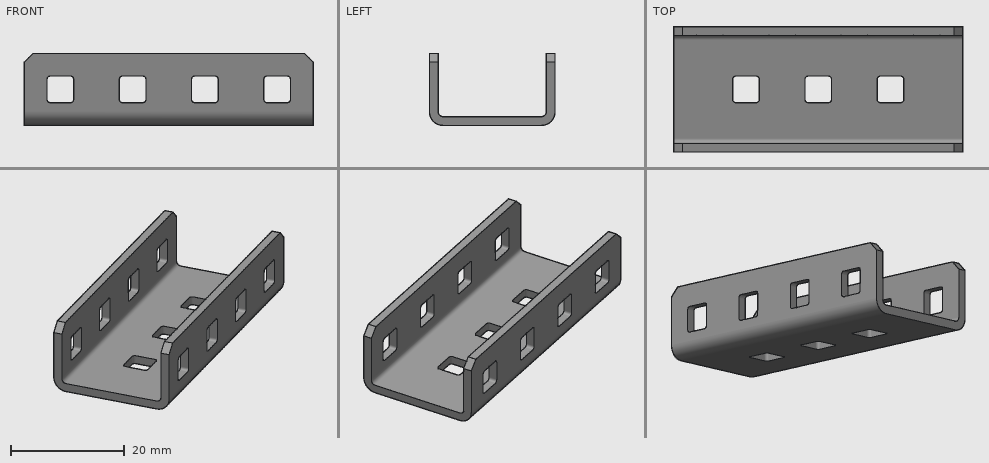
import cadquery as cq

length = 50.8
width = 22.1
height = 12.7

sheet = 1.6
inner_bend = 0.8
outer_bend = inner_bend + sheet

corner_bevel = 1.6

hole_side = 4.6
hole_corner_radius = 0.5
hole_pitch = 12.7
flange_hole_count = 4
web_hole_count = 3
flange_hole_height = hole_pitch / 2


def make_channel():
    """U-shaped sheet, open upwards, resting on Z = 0."""
    outer = (
        cq.Workplane("XY")
        .box(length, width, height, centered=(True, True, False))
        .edges("|X and <Z")
        .fillet(outer_bend)
    )
    inner = (
        cq.Workplane("XY", origin=(0, 0, sheet))
        .box(length, width - 2 * sheet, height, centered=(True, True, False))
        .edges("|X and <Z")
        .fillet(inner_bend)
    )
    return outer.cut(inner)


def bevel_flange_corners(channel):
    """Cut the top corners of the flanges at both ends of the channel."""
    return channel.faces(">Z").edges("|Y").chamfer(corner_bevel)


def punch_hole_row(plane, count, reach):
    """Row of square punches along X, reaching equally far to both sides of the plane."""
    return (
        plane.rarray(hole_pitch, 0.5, count, 1)
        .rect(hole_side, hole_side)
        .extrude(reach, both=True)
        .edges(cq.selectors.ParallelDirSelector(plane.plane.zDir))
        .fillet(hole_corner_radius)
    )


flange_plane = cq.Workplane("XZ", origin=(0, 0, flange_hole_height))
flange_punches = punch_hole_row(flange_plane, flange_hole_count, width)
web_punches = punch_hole_row(cq.Workplane("XY"), web_hole_count, 2 * sheet)

result = bevel_flange_corners(make_channel()).cut(flange_punches).cut(web_punches)